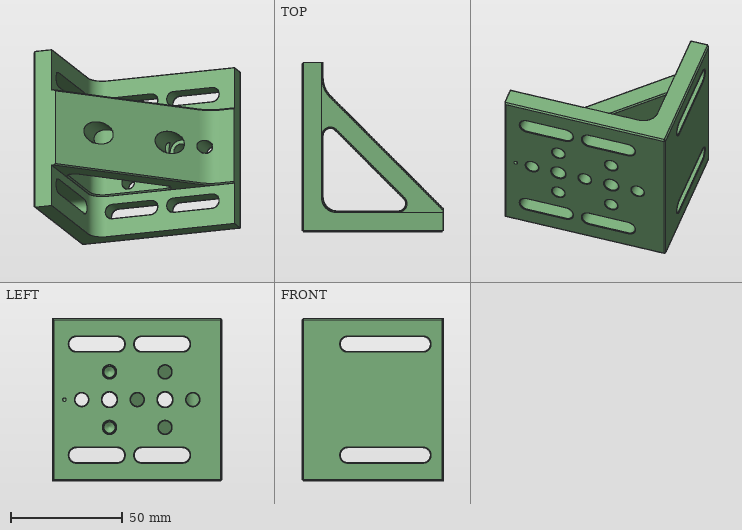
import cadquery as cq
import math

width_x = 63.5
length_y = 76.2
height_z = 73.15

plate = 8.7
outer_chamfer = 0.7
mouth_chamfer = 0.3

web_thickness = 35.35
web_chamfer = 0.6
web_offset = 9.45
web_diagonal = 73.9
web_blend_radius = 11.4
window_diagonal = 60.5
window_tip_radius = 3.2
window_corner_radius = 6.1
plate_fillet = window_corner_radius + web_chamfer

hole_pitch = 12.5
pattern_y = length_y / 2
tap_dia = 6.0
tap_depth = 12.2
tap_mouth_chamfer = 0.2
tap_drill_dia = 5.0
tap_drill_depth = 15.25
clearance_dia = 6.7
access_dia = 10.3
pilot_dia = 1.6
pilot_depth = 1.5
pilot_y = 70.9
drill_point_angle = 118.0

slot_width = 6.7
slot_z = 2 * hole_pitch
side_slot_length = 25.1
side_slot_places_y = (26.9, 56.3)
front_slot_length = 40.55
front_slot_x = 37.4


def make_plates():
    """L-shaped pair of plates with chamfered outer faces and a filleted inner corner."""
    outline = [
        (0, 0),
        (width_x, 0),
        (width_x, plate),
        (plate, plate),
        (plate, length_y),
        (0, length_y),
    ]
    plates = cq.Workplane("XY").polyline(outline).close().extrude(height_z / 2, both=True)
    plates = plates.faces("<X or <Y").edges().chamfer(outer_chamfer)
    inner_corner = cq.selectors.NearestToPointSelector((plate, plate, 0))
    return plates.edges("|Z").edges(inner_corner).fillet(plate_fillet)


def make_web():
    """Triangular web with a triangular window, all its edges chamfered."""
    root = plate / 2
    overshoot = length_y + plate
    outline = [
        (root, root),
        (web_diagonal - root, root),
        (web_offset, web_diagonal - web_offset),
        (web_offset, overshoot),
        (root, overshoot),
    ]
    web = cq.Workplane("XY").polyline(outline).close().extrude(web_thickness / 2, both=True)
    bend = cq.selectors.NearestToPointSelector((web_offset, web_diagonal - web_offset, 0))
    web = web.edges("|Z").edges(bend).fillet(web_blend_radius)

    window_end = window_diagonal - web_offset
    window = (
        cq.Workplane("XY")
        .polyline([(web_offset, web_offset), (window_end, web_offset), (web_offset, window_end)])
        .close()
        .extrude(web_thickness / 2, both=True)
    )
    right_angle = cq.selectors.NearestToPointSelector((web_offset, web_offset, 0))
    window = window.edges("|Z").edges(right_angle).fillet(window_corner_radius)
    window = window.edges("|Z").edges(">X or >Y").fillet(window_tip_radius)

    web = web.cut(window).faces("<Z or >Z").edges().chamfer(web_chamfer)
    envelope = cq.Workplane("XY").box(width_x, length_y, height_z, centered=(False, False, True))
    return web.intersect(envelope)


def hole_along_x(y, z, diameter, start, end):
    """Cylinder along +X from X = start to X = end."""
    return cq.Workplane("YZ", origin=(start, y, z)).circle(diameter / 2).extrude(end - start)


def hole_mouth(y, z, diameter, chamfer):
    """Countersink cone at the -X face."""
    radius = diameter / 2
    cone = cq.Solid.makeCone(
        radius + chamfer, radius, chamfer, cq.Vector(0, y, z), cq.Vector(1, 0, 0)
    )
    return cq.Workplane(cone)


def drilled_hole(y, z, diameter, depth):
    """Blind hole from the -X face with a conical drill point."""
    radius = diameter / 2
    point = radius / math.tan(math.radians(drill_point_angle / 2))
    cone = cq.Solid.makeCone(radius, 0, point, cq.Vector(depth, y, z), cq.Vector(1, 0, 0))
    return hole_along_x(y, z, diameter, 0, depth).union(cq.Workplane(cone))


def slot_cutter(plane, length):
    """Slot through one plate and its inner fillet, with a chamfered mouth on the plane."""
    slot = cq.Workplane(plane).slot2D(length, slot_width).extrude(plate + plate_fillet)
    mouth = (
        cq.Workplane(plane)
        .slot2D(length + 2 * mouth_chamfer, slot_width + 2 * mouth_chamfer)
        .extrude(mouth_chamfer, taper=45)
    )
    return slot.union(mouth)


body = make_plates().union(make_web())

for z in (-slot_z, slot_z):
    for y in side_slot_places_y:
        body = body.cut(slot_cutter(cq.Plane((0, y, z), (0, 1, 0), (1, 0, 0)), side_slot_length))
    body = body.cut(
        slot_cutter(cq.Plane((front_slot_x, 0, z), (1, 0, 0), (0, 1, 0)), front_slot_length)
    )

open_taps = [
    (pattern_y - 2 * hole_pitch, 0),
    (pattern_y, 0),
    (pattern_y + 2 * hole_pitch, 0),
    (pattern_y - hole_pitch, -hole_pitch),
    (pattern_y - hole_pitch, hole_pitch),
]
for y, z in open_taps:
    body = body.cut(hole_along_x(y, z, tap_dia, 0, tap_drill_depth))
    body = body.cut(hole_mouth(y, z, tap_dia, tap_mouth_chamfer))

for z in (-hole_pitch, hole_pitch):
    y = pattern_y + hole_pitch
    body = body.cut(drilled_hole(y, z, tap_drill_dia, tap_drill_depth))
    body = body.cut(hole_along_x(y, z, tap_dia, 0, tap_depth))
    body = body.cut(hole_mouth(y, z, tap_dia, tap_mouth_chamfer))

for y in (pattern_y - hole_pitch, pattern_y + hole_pitch):
    body = body.cut(hole_along_x(y, 0, clearance_dia, 0, plate))
    body = body.cut(hole_along_x(y, 0, access_dia, plate, width_x))
    body = body.cut(hole_mouth(y, 0, clearance_dia, mouth_chamfer))

body = body.cut(drilled_hole(pilot_y, 0, pilot_dia, pilot_depth))

result = body